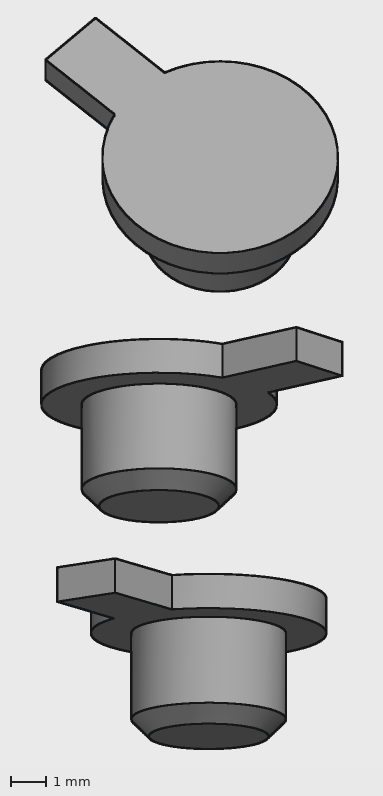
import cadquery as cq

total_height = 4.0
disc_diameter = 6.7
disc_thickness = 1.0

tab_reach = 5.93
tab_width = 2.04

pin_diameter = 4.4
pin_chamfer = 0.5
pin_length = total_height - disc_thickness


def make_disc():
    """Disc resting on top of the pin, centred on the Z axis."""
    return (
        cq.Workplane("XY")
        .workplane(offset=pin_length)
        .circle(disc_diameter / 2)
        .extrude(disc_thickness)
    )


def make_tab():
    """Rectangular arm from the disc axis out to -X."""
    return (
        cq.Workplane("XY")
        .workplane(offset=pin_length)
        .center(-tab_reach / 2, 0)
        .rect(tab_reach, tab_width)
        .extrude(disc_thickness)
    )


def make_pin():
    """Pin standing on Z = 0, with its lower rim chamfered."""
    return (
        cq.Workplane("XY")
        .circle(pin_diameter / 2)
        .extrude(pin_length)
        .faces("<Z")
        .edges()
        .chamfer(pin_chamfer)
    )


result = make_disc().union(make_tab()).union(make_pin())